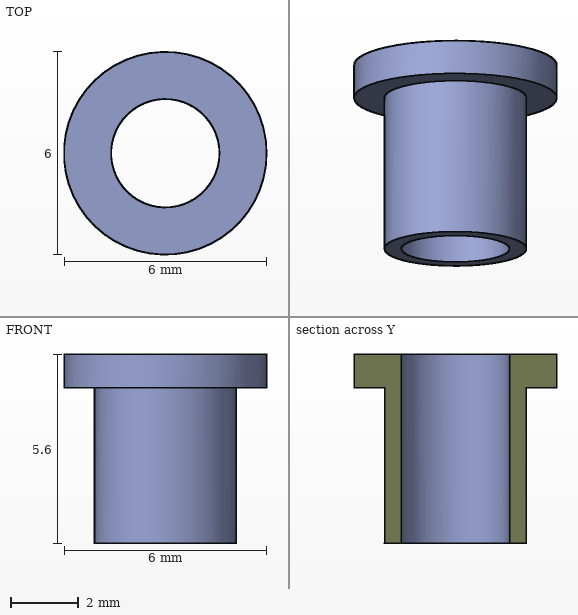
import cadquery as cq

flange_diameter = 6.0
sleeve_diameter = 4.2
bore_diameter = 3.2
total_height = 5.6
flange_thickness = 1.0
sleeve_length = total_height - flange_thickness

sleeve = cq.Workplane("XY").circle(sleeve_diameter / 2).extrude(sleeve_length)

flange = (
    cq.Workplane("XY")
    .workplane(offset=sleeve_length)
    .circle(flange_diameter / 2)
    .extrude(flange_thickness)
)

bore = cq.Workplane("XY").circle(bore_diameter / 2).extrude(total_height)

result = sleeve.union(flange).cut(bore)